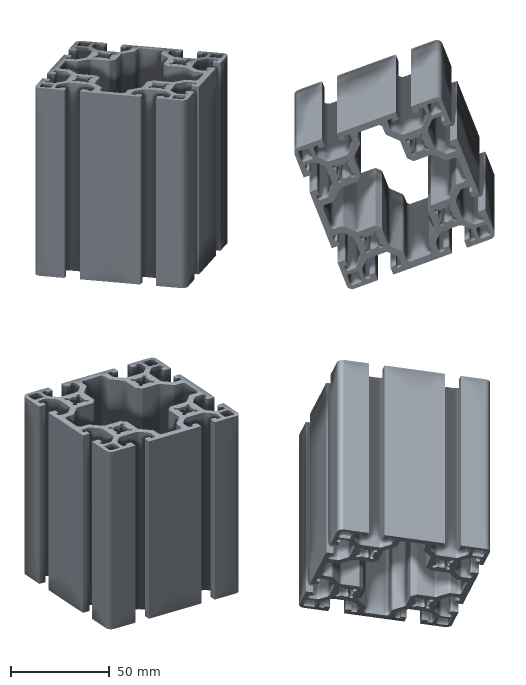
import cadquery as cq
import math

width = 80.0
length = 100.0
corner_radius = 3.0
half_width = width / 2

core_center = width / 4
core_half = 7.5
core_chamfer = 2.6

slot_opening = 8.2
slot_inner_width = 20.0
slot_depth = core_center - core_half
lip_depth = 4.2
lip_width = 3.0
skin = 2.5
slot_side_end = 8.0
slot_notch_radius = 1.2
slot_side_radius = 2.5
slot_floor_radius = 3.0
lip_edge_radius = 0.7
notch_edge_radius = 0.5

bore_radius = 3.7
relief_center = 3.7
relief_radius = 1.0

corner_hole_edge = 2.0
corner_hole_size = 6.2
corner_hole_radius = 1.0

cavity_wall = 3.4
arm_half_width = 6.8
arm_straight_end = 30.7
arm_corner_radius = 1.9
flare_radius = 2.0


def rounded_outline(corners):
    """Closed outline through (x, y, radius) corners; radius 0 leaves a corner sharp."""
    outline = None
    for i, (x, y, radius) in enumerate(corners):
        corner = cq.Vector(x, y)
        before = cq.Vector(*corners[i - 1][:2])
        after = cq.Vector(*corners[(i + 1) % len(corners)][:2])
        to_before = (before - corner).normalized()
        to_after = (after - corner).normalized()
        half_angle = to_before.getAngle(to_after) / 2
        setback = radius / math.tan(half_angle)
        start = corner + to_before * setback
        if outline is None:
            outline = cq.Workplane("XY").moveTo(start.x, start.y)
        else:
            outline = outline.lineTo(start.x, start.y)
        if radius > 0:
            bisector = (to_before + to_after).normalized()
            middle = corner + bisector * (radius / math.sin(half_angle) - radius)
            end = corner + to_after * setback
            outline = outline.threePointArc((middle.x, middle.y), (end.x, end.y))
    return outline.close()


def quarter_turns(shape):
    """Four copies of a shape about the extrusion axis."""
    return [shape.rotate((0, 0, 0), (0, 0, 1), 90 * turn) for turn in range(4)]


def t_slot(center_x):
    """Slot cutter that opens on the +Y face."""
    half_opening = slot_opening / 2
    half_inner = slot_inner_width / 2
    flank_run = slot_depth - slot_side_end
    half_profile = [
        (half_opening, 0, 0),
        (half_opening, lip_depth, lip_edge_radius),
        (half_opening + lip_width, lip_depth, 0),
        (half_opening + lip_width, skin, notch_edge_radius),
        (half_inner, skin, slot_notch_radius),
        (half_inner, slot_side_end, slot_side_radius),
        (half_inner - flank_run, slot_depth, slot_floor_radius),
    ]
    right = [(center_x + x, half_width - depth, r) for x, depth, r in half_profile]
    left = [(center_x - x, half_width - depth, r) for x, depth, r in reversed(half_profile)]
    return rounded_outline(right + left).extrude(length)


def central_cavity():
    """Cross-shaped cutter with four flared arms reaching toward the outer faces."""
    core_inner = core_center - core_half
    flare_end = arm_straight_end - (core_inner - arm_half_width)
    arm_end = half_width - cavity_wall
    half_quadrant = [
        (arm_end, arm_half_width, arm_corner_radius),
        (arm_straight_end, arm_half_width, flare_radius),
        (flare_end, core_inner, flare_radius),
        (core_inner + core_chamfer, core_inner, 0),
    ]
    quadrant = half_quadrant + [(y, x, r) for x, y, r in reversed(half_quadrant)]
    corners = []
    for _ in range(4):
        corners += quadrant
        quadrant = [(-y, x, r) for x, y, r in quadrant]
    return rounded_outline(corners).extrude(length)


def screw_bore():
    """Bore cutter with diagonal grooves, on one core."""
    bore = cq.Workplane("XY").circle(bore_radius).extrude(length)
    groove_length = 2 * (relief_center * math.sqrt(2) + relief_radius)
    for angle in (45, 135):
        groove = cq.Workplane("XY").slot2D(groove_length, 2 * relief_radius, angle).extrude(length)
        bore = bore.union(groove)
    return bore.translate((core_center, core_center, 0))


def corner_hole():
    """Rounded square cutter for one outer corner."""
    center = half_width - corner_hole_edge - corner_hole_size / 2
    return (
        cq.Workplane("XY")
        .center(center, center)
        .rect(corner_hole_size, corner_hole_size)
        .extrude(length)
        .edges("|Z")
        .fillet(corner_hole_radius)
    )


result = cq.Workplane("XY").rect(width, width).extrude(length).edges("|Z").fillet(corner_radius)
result = result.cut(central_cavity())
for feature in (t_slot(-core_center), t_slot(core_center), screw_bore(), corner_hole()):
    for cutter in quarter_turns(feature):
        result = result.cut(cutter)